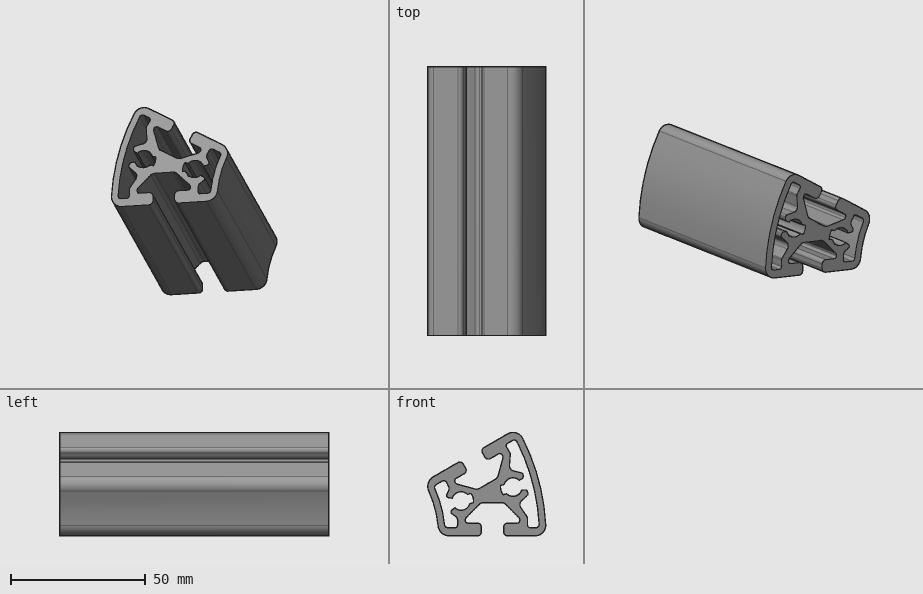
import cadquery as cq
import math

LENGTH = 100.0
WEDGE_ANGLE = 30.0
BISECTOR = WEDGE_ANGLE / 2
INNER_RADIUS = 40.0
OUTER_RADIUS = 80.0
INNER_CORNER_ROUND = 4.2
OUTER_CORNER_ROUND = 4.0

SLOT_CENTRE = 60.1
SLOT_OPENING = 8.2
SLOT_WIDTH = 20.2
SLOT_DEPTH = 12.3
SLOT_FLOOR_WIDTH = 8.6
LIP_THICKNESS = 4.8
LIP_ROUND = 1.5
SLOT_ROUND = 1.0
SLOT_FLANK_ROUND = 1.6
SLOT_FLOOR_ROUND = 2.2

BORE_RADIUS = 3.4
BORE_OFFSET = 10.0
MOUTH_HALF_ANGLE = 32.0
NOTCH_WIDTH = 3.5
NOTCH_REACH = 4.6

CURVED_WALL = 2.5
CHAMBER_FLOOR = 3.1
CHAMBER_SIDE_OFFSET = 13.0
CHAMBER_CORNER_ROUND = 1.0
WALL_CORNER_ROUND = 1.2
PRONG_ROUND = 0.8

INNER_WEB_HEIGHT = 6.7
INNER_WEB_ROUND = 2.0
INNER_PRONG_TIP = (44.1, 8.9)

OUTER_WEB_HEIGHT = 6.9
OUTER_WEB_ROUND = 0.8
OUTER_HOLLOW = (69.7, 11.9)
OUTER_HOLLOW_ROUND = 2.0
OUTER_PRONG_OUTSIDE = (73.5, 15.5)
OUTER_PRONG_INSIDE = (72.8, 17.1)


def polar(radius, angle, centre=(0, 0)):
    """Point in the XZ plane at an angle in degrees from +X towards +Z."""
    a = math.radians(angle)
    return (centre[0] + radius * math.cos(a), centre[1] + radius * math.sin(a))


def section():
    """XZ workplane at the end of the bar, facing -Y."""
    return cq.Workplane("XZ", origin=(0, LENGTH / 2, 0))


def round_corner(body, point, radius):
    """Fillet the lengthwise edge that passes through a point of the section."""
    nearest = cq.selectors.NearestToPointSelector((point[0], 0, point[1]))
    return body.edges("|Y").edges(nearest).fillet(radius)


def turn(body, angle):
    """Rotate about the apex line from +X towards +Z."""
    return body.rotate((0, 0, 0), (0, 1, 0), -angle)


def reflect(body):
    """Mirror across the bisector of the wedge."""
    return turn(body.mirror("XY"), WEDGE_ANGLE)


def wedge():
    """Ring sector with rounded corners."""
    inner_low, inner_high = (INNER_RADIUS, 0), polar(INNER_RADIUS, WEDGE_ANGLE)
    outer_low, outer_high = (OUTER_RADIUS, 0), polar(OUTER_RADIUS, WEDGE_ANGLE)
    body = (
        section()
        .moveTo(*inner_low)
        .lineTo(*outer_low)
        .threePointArc(polar(OUTER_RADIUS, BISECTOR), outer_high)
        .lineTo(*inner_high)
        .threePointArc(polar(INNER_RADIUS, BISECTOR), inner_low)
        .close()
        .extrude(LENGTH)
    )
    for corner in (inner_low, inner_high):
        body = round_corner(body, corner, INNER_CORNER_ROUND)
    for corner in (outer_low, outer_high):
        body = round_corner(body, corner, OUTER_CORNER_ROUND)
    return body


def slot():
    """T-slot cutter for the face on Z = 0, with 45 degree flanks."""
    flank_height = SLOT_DEPTH - (SLOT_WIDTH - SLOT_FLOOR_WIDTH) / 2
    right_side = [
        (SLOT_OPENING / 2, 0),
        (SLOT_OPENING / 2, LIP_THICKNESS),
        (SLOT_WIDTH / 2, LIP_THICKNESS),
        (SLOT_WIDTH / 2, flank_height),
        (SLOT_FLOOR_WIDTH / 2, SLOT_DEPTH),
    ]
    rounds = [None, LIP_ROUND, SLOT_ROUND, SLOT_FLANK_ROUND, SLOT_FLOOR_ROUND]
    right = [(SLOT_CENTRE + x, z) for x, z in right_side]
    left = [(SLOT_CENTRE - x, z) for x, z in right_side]
    body = section().polyline(right + left[::-1]).close().extrude(LENGTH)
    for side in (left, right):
        for corner, radius in zip(side, rounds):
            if radius:
                body = round_corner(body, corner, radius)
    return body


def bore(distance, core_direction):
    """Bore on the bisector; core_direction is +1 or -1 along the bisector."""
    hole = section().center(distance, 0).circle(BORE_RADIUS).extrude(LENGTH)
    reach = section().center(distance, 0).circle(NOTCH_REACH).extrude(LENGTH)
    notch = (
        section()
        .center(distance + core_direction * NOTCH_REACH / 2, 0)
        .rect(NOTCH_REACH, NOTCH_WIDTH)
        .extrude(LENGTH)
        .intersect(reach)
    )
    return turn(hole.union(notch), BISECTOR)


def half_chamber(wall_radius, bore_distance, web, rounds):
    """Chamber cutter from the floor to the bisector, between curved wall and web.

    web lists the corners from the floor to the bore, rounds their fillet radii.
    """
    wall_low = (math.sqrt(wall_radius**2 - CHAMBER_FLOOR**2), CHAMBER_FLOOR)
    wall_angle = math.degrees(math.asin(CHAMBER_FLOOR / wall_radius))
    body = (
        section()
        .moveTo(*polar(wall_radius, BISECTOR))
        .threePointArc(polar(wall_radius, (BISECTOR + wall_angle) / 2), wall_low)
    )
    for point in web:
        body = body.lineTo(*point)
    body = body.lineTo(*polar(bore_distance, BISECTOR)).close().extrude(LENGTH)
    body = round_corner(body, wall_low, WALL_CORNER_ROUND)
    for corner, radius in zip(web, rounds):
        body = round_corner(body, corner, radius)
    return body


def inner_chamber():
    """Half chamber and bore next to the inner curved wall."""
    distance = SLOT_CENTRE - BORE_OFFSET
    side = SLOT_CENTRE - CHAMBER_SIDE_OFFSET
    mouth = polar(BORE_RADIUS, BISECTOR + 180 + MOUTH_HALF_ANGLE, polar(distance, BISECTOR))
    web = [(side, CHAMBER_FLOOR), (side, INNER_WEB_HEIGHT), INNER_PRONG_TIP, mouth]
    rounds = [CHAMBER_CORNER_ROUND, INNER_WEB_ROUND, PRONG_ROUND]
    half = half_chamber(INNER_RADIUS + CURVED_WALL, distance, web, rounds)
    return half, bore(distance, 1)


def outer_chamber():
    """Half chamber and bore next to the outer curved wall."""
    distance = SLOT_CENTRE + BORE_OFFSET
    side = SLOT_CENTRE + CHAMBER_SIDE_OFFSET
    mouth = polar(BORE_RADIUS, BISECTOR - MOUTH_HALF_ANGLE, polar(distance, BISECTOR))
    web = [
        (side, CHAMBER_FLOOR),
        (side, OUTER_WEB_HEIGHT),
        OUTER_HOLLOW,
        OUTER_PRONG_OUTSIDE,
        OUTER_PRONG_INSIDE,
        mouth,
    ]
    rounds = [CHAMBER_CORNER_ROUND, OUTER_WEB_ROUND, OUTER_HOLLOW_ROUND, PRONG_ROUND, PRONG_ROUND]
    half = half_chamber(OUTER_RADIUS - CURVED_WALL, distance, web, rounds)
    return half, bore(distance, -1)


def round_lips(body):
    """Round the outside corners of the lips of the slot on Z = 0."""
    for side in (-1, 1):
        body = round_corner(body, (SLOT_CENTRE + side * SLOT_OPENING / 2, 0), LIP_ROUND)
    return body


profile = wedge().cut(slot()).cut(reflect(slot()))
profile = reflect(round_lips(reflect(round_lips(profile))))
for half, hole in (inner_chamber(), outer_chamber()):
    profile = profile.cut(half.union(reflect(half)).union(hole))

result = profile